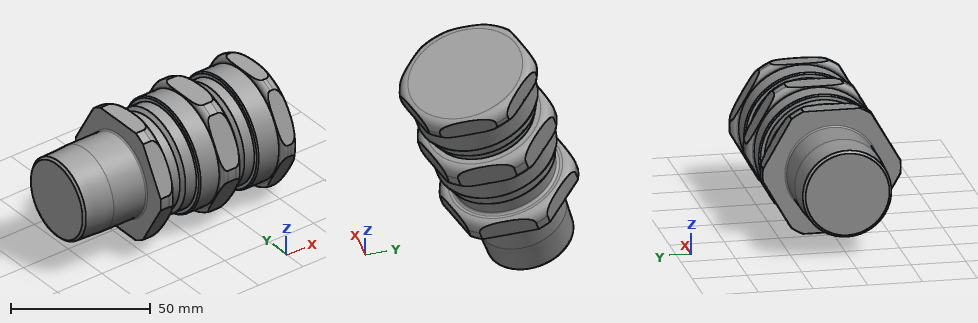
import cadquery as cq
import math


HEX_ACROSS_FLATS = 46.0
COLLAR_DIAMETER = 50.5
REAR_ROUND = 4.0
FRONT_ROUND = 2.0

ENTRY_FLANGE_FACE = 27.7
ENTRY_FLANGE_END = 35.2
MIDDLE_FACE = 47.15
MIDDLE_COLLAR_FACE = 55.9
MIDDLE_COLLAR_END = 65.3
NUT_FACE = 73.2
NUT_COLLAR_FACE = 82.8
GLAND_END = 90.15

SHANK_DIAMETER = 33.45
TIP_DIAMETER = 32.45
TIP_CHAMFER = 0.9
TAPER_END = 12.9
SHANK_FILLET = 0.5

NECK_DIAMETER = 38.4
SPIGOT_DIAMETER = 41.3
ENTRY_NECK_END = 40.8
ENTRY_NECK_FILLET = 1.0
MIDDLE_NECK_END = 67.3

SLEEVE_DIAMETER = 45.2
SLEEVE_CHAMFER = 0.5

NECK_RADIUS = NECK_DIAMETER / 2
SPIGOT_RADIUS = SPIGOT_DIAMETER / 2
SHANK_RADIUS = SHANK_DIAMETER / 2
SLEEVE_RADIUS = SLEEVE_DIAMETER / 2
COLLAR_RADIUS = COLLAR_DIAMETER / 2
LEAD_CHAMFER = SPIGOT_RADIUS - NECK_RADIUS
ARC_MIDDLE = math.sqrt(0.5)


def turned(profile):
    """Close an (x, radius) outline down to the X axis and revolve it."""
    return profile.close().revolve(360, (0, 0, 0), (1, 0, 0))


def cylinder(start, end, diameter):
    """Round bar along X."""
    return cq.Workplane("YZ", origin=(start, 0, 0)).circle(diameter / 2).extrude(end - start)


def hex_collar(start, end, front_round):
    """Hexagon with corners on Y, rounded at the rear and, if front_round is not zero, at the front."""
    profile = cq.Workplane("XY").moveTo(start, 0).lineTo(start, COLLAR_RADIUS - front_round)
    if front_round:
        front_middle = front_round * (1 - ARC_MIDDLE)
        profile = profile.threePointArc(
            (start + front_middle, COLLAR_RADIUS - front_middle),
            (start + front_round, COLLAR_RADIUS),
        )
    rear_middle = REAR_ROUND * (1 - ARC_MIDDLE)
    profile = profile.lineTo(end - REAR_ROUND, COLLAR_RADIUS).threePointArc(
        (end - rear_middle, COLLAR_RADIUS - rear_middle),
        (end, COLLAR_RADIUS - REAR_ROUND),
    )
    blank = turned(profile.lineTo(end, 0))
    across_corners = HEX_ACROSS_FLATS / math.cos(math.pi / 6)
    hexagon = cq.Workplane("YZ", origin=(start, 0, 0)).polygon(6, across_corners).extrude(end - start)
    return blank.intersect(hexagon)


def entry_shank():
    """Chamfered tip, taper and straight length, with a fillet at the flange."""
    tip_radius = TIP_DIAMETER / 2
    fillet_middle = SHANK_FILLET * ARC_MIDDLE
    fillet_start = ENTRY_FLANGE_FACE - SHANK_FILLET
    fillet_top = SHANK_RADIUS + SHANK_FILLET
    return turned(
        cq.Workplane("XY")
        .moveTo(0, 0)
        .lineTo(0, tip_radius - TIP_CHAMFER)
        .lineTo(TIP_CHAMFER, tip_radius)
        .lineTo(TAPER_END, SHANK_RADIUS)
        .lineTo(fillet_start, SHANK_RADIUS)
        .threePointArc(
            (fillet_start + fillet_middle, fillet_top - fillet_middle),
            (ENTRY_FLANGE_FACE, fillet_top),
        )
        .lineTo(ENTRY_FLANGE_FACE, 0)
    )


def spigot(start, neck_end, end, neck_fillet):
    """Neck, 45 degree lead chamfer and spigot; a neck_fillet that is not zero blends it into its collar."""
    profile = cq.Workplane("XY").moveTo(start, 0).lineTo(start, NECK_RADIUS + neck_fillet)
    if neck_fillet:
        fillet_middle = neck_fillet * (1 - ARC_MIDDLE)
        profile = profile.threePointArc(
            (start + fillet_middle, NECK_RADIUS + fillet_middle),
            (start + neck_fillet, NECK_RADIUS),
        )
    return turned(
        profile.lineTo(neck_end, NECK_RADIUS)
        .lineTo(neck_end + LEAD_CHAMFER, SPIGOT_RADIUS)
        .lineTo(end, SPIGOT_RADIUS)
        .lineTo(end, 0)
    )


def socketed_collar(sleeve_face, collar_face, collar_end):
    """Chamfered round sleeve and hexagonal collar, with a socket as deep as the sleeve."""
    sleeve = cylinder(sleeve_face, collar_face, SLEEVE_DIAMETER).faces("<X").chamfer(SLEEVE_CHAMFER)
    collar = hex_collar(collar_face, collar_end, FRONT_ROUND)
    socket = cylinder(sleeve_face, collar_face, SPIGOT_DIAMETER)
    return sleeve.union(collar).cut(socket)


entry_flange = hex_collar(ENTRY_FLANGE_FACE, ENTRY_FLANGE_END, 0)
entry_spigot = spigot(ENTRY_FLANGE_END, ENTRY_NECK_END, MIDDLE_COLLAR_FACE, ENTRY_NECK_FILLET)
entry_body = entry_shank().union(entry_flange).union(entry_spigot)

middle_spigot = spigot(MIDDLE_COLLAR_END, MIDDLE_NECK_END, NUT_COLLAR_FACE, 0)
middle_body = socketed_collar(MIDDLE_FACE, MIDDLE_COLLAR_FACE, MIDDLE_COLLAR_END).union(middle_spigot)

end_nut = socketed_collar(NUT_FACE, NUT_COLLAR_FACE, GLAND_END)

result = cq.Compound.makeCompound([body.solids().val() for body in (entry_body, middle_body, end_nut)])